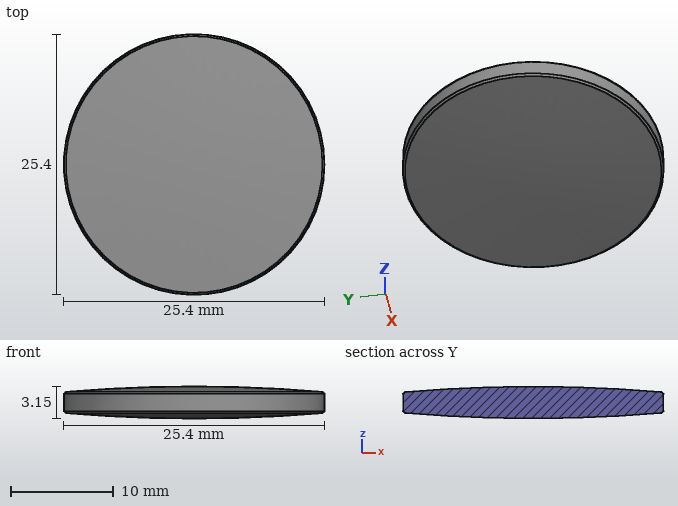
import cadquery as cq

diameter = 25.4
center_thickness = 3.15
edge_thickness = 2.08
bevel_width = 0.2
bevel_height = 0.2

radius = diameter / 2
dome_radius = radius - bevel_width
half_center = center_thickness / 2
half_edge = edge_thickness / 2
half_rim = half_edge - bevel_height

dome_rise = half_center - half_edge
sphere_radius = (dome_radius**2 + dome_rise**2) / (2 * dome_rise)

mid_x = dome_radius / 2
mid_z = half_center - sphere_radius + (sphere_radius**2 - mid_x**2) ** 0.5

half_section = (
    cq.Workplane("XZ")
    .moveTo(0, -half_center)
    .threePointArc((mid_x, -mid_z), (dome_radius, -half_edge))
    .lineTo(radius, -half_rim)
    .lineTo(radius, half_rim)
    .lineTo(dome_radius, half_edge)
    .threePointArc((mid_x, mid_z), (0, half_center))
    .close()
)

result = half_section.revolve(360, (0, 0, 0), (0, 1, 0))